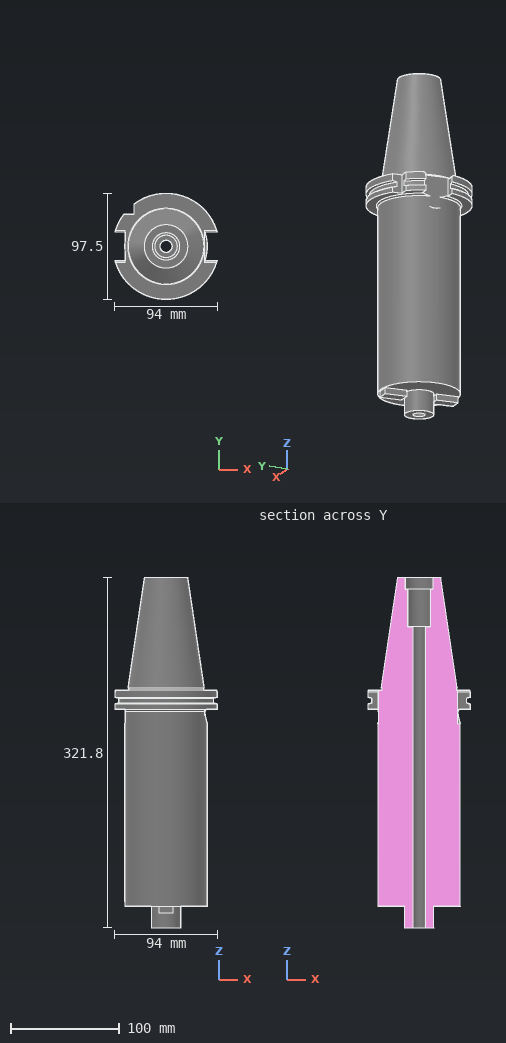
import cadquery as cq

TOTAL_HEIGHT = 321.8
BODY_BOTTOM = 20.0
FLANGE_BOTTOM = 200.8
FLANGE_TOP = 218.5
TAPER_BOTTOM = 220.5

SPIGOT_RADIUS = 13.5
BODY_RADIUS = 38.0
FLANGE_RADIUS = 97.5 / 2
RELIEF_RADIUS = 34.5
TAPER_LARGE_RADIUS = 35.0
TAPER_SMALL_RADIUS = 20.0

NECK_FLARE = 1.3
NECK_FLARE_HEIGHT = 2.0

GROOVE_CENTER = 208.8
GROOVE_DEPTH = 3.2
GROOVE_MOUTH_WIDTH = 6.0
GROOVE_FLOOR_WIDTH = 4.2

SLOT_WIDTH = 26.0
SLOT_CHAMFER = 1.5
SLOT_FLOOR_LEFT = 37.5
SLOT_FLOOR_RIGHT = 35.5

NOTCH_OFFSET = 29.5

KEY_WIDTH = 12.5
KEY_HEIGHT = 5.8
KEY_INNER_END = 14.8
KEY_OUTER_END = 36.5

COUNTERBORE_RADIUS = 12.5
COUNTERBORE_DEPTH = 10.5
THREAD_RADIUS = 10.3
THREAD_BORE_DEPTH = 45
THROUGH_RADIUS = 5.5


def turned_blank():
    groove_radius = FLANGE_RADIUS - GROOVE_DEPTH
    mouth_half = GROOVE_MOUTH_WIDTH / 2
    floor_half = GROOVE_FLOOR_WIDTH / 2
    profile = [
        (0, 0),
        (SPIGOT_RADIUS, 0),
        (SPIGOT_RADIUS, BODY_BOTTOM),
        (BODY_RADIUS, BODY_BOTTOM),
        (BODY_RADIUS, FLANGE_BOTTOM - NECK_FLARE_HEIGHT),
        (BODY_RADIUS + NECK_FLARE, FLANGE_BOTTOM),
        (FLANGE_RADIUS, FLANGE_BOTTOM),
        (FLANGE_RADIUS, GROOVE_CENTER - mouth_half),
        (groove_radius, GROOVE_CENTER - floor_half),
        (groove_radius, GROOVE_CENTER + floor_half),
        (FLANGE_RADIUS, GROOVE_CENTER + mouth_half),
        (FLANGE_RADIUS, FLANGE_TOP),
        (RELIEF_RADIUS, FLANGE_TOP),
        (RELIEF_RADIUS, TAPER_BOTTOM),
        (TAPER_LARGE_RADIUS, TAPER_BOTTOM),
        (TAPER_SMALL_RADIUS, TOTAL_HEIGHT),
        (0, TOTAL_HEIGHT),
    ]
    return cq.Workplane("XZ").polyline(profile).close().revolve(360, (0, 0), (0, 1))


def drive_slot(start_x):
    """Round-bottomed slot cutter reaching from start_x past the flange in +X, flared at the top."""
    half_width = SLOT_WIDTH / 2
    top_half_width = half_width + SLOT_CHAMFER
    chamfer_bottom = FLANGE_TOP - SLOT_CHAMFER
    return (
        cq.Workplane("YZ", origin=(start_x, 0, 0))
        .moveTo(-top_half_width, FLANGE_TOP)
        .lineTo(-half_width, chamfer_bottom)
        .lineTo(-half_width, FLANGE_BOTTOM)
        .threePointArc((0, FLANGE_BOTTOM - half_width), (half_width, FLANGE_BOTTOM))
        .lineTo(half_width, chamfer_bottom)
        .lineTo(top_half_width, FLANGE_TOP)
        .close()
        .extrude(FLANGE_RADIUS)
    )


def orientation_notch():
    return cq.Workplane().box(
        FLANGE_RADIUS, FLANGE_RADIUS, FLANGE_TOP - FLANGE_BOTTOM, centered=False
    ).translate((-NOTCH_OFFSET - FLANGE_RADIUS, NOTCH_OFFSET, FLANGE_BOTTOM))


def drive_keys():
    key_length = KEY_OUTER_END - KEY_INNER_END
    key_center = (KEY_OUTER_END + KEY_INNER_END) / 2
    return (
        cq.Workplane("XY", origin=(0, 0, BODY_BOTTOM))
        .pushPoints([(0, -key_center), (0, key_center)])
        .rect(KEY_WIDTH, key_length)
        .extrude(-KEY_HEIGHT)
    )


def bore(radius, depth):
    return cq.Workplane("XY", origin=(0, 0, TOTAL_HEIGHT)).circle(radius).extrude(-depth)


result = turned_blank()
result = result.cut(drive_slot(SLOT_FLOOR_RIGHT))
result = result.cut(drive_slot(SLOT_FLOOR_LEFT).rotate((0, 0, 0), (0, 0, 1), 180))
result = result.cut(orientation_notch())
result = result.union(drive_keys())
result = result.cut(bore(COUNTERBORE_RADIUS, COUNTERBORE_DEPTH))
result = result.cut(bore(THREAD_RADIUS, THREAD_BORE_DEPTH))
result = result.cut(bore(THROUGH_RADIUS, TOTAL_HEIGHT))